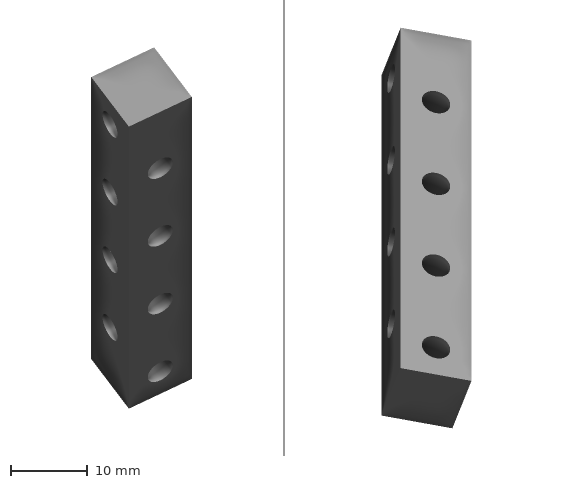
import cadquery as cq

length = 59.55
width = 9.5

hole_diameter = 3.8
hole_count = 4
hole_pitch = 14.3
end_distance = width / 2

row_span = (hole_count - 1) * hole_pitch
row_offset = length / 2 - end_distance - row_span / 2


def drill_row(bar, face, row_centre):
    """Drill a row of holes through the bar, centred at height row_centre."""
    heights = [row_centre - row_span / 2 + i * hole_pitch for i in range(hole_count)]
    return (
        bar.faces(face)
        .workplane(origin=(0, 0, 0))
        .pushPoints([(0, height) for height in heights])
        .hole(hole_diameter)
    )


bar = cq.Workplane("XY").box(width, width, length)

bar = drill_row(bar, "<Y", row_offset)
result = drill_row(bar, "<X", -row_offset)